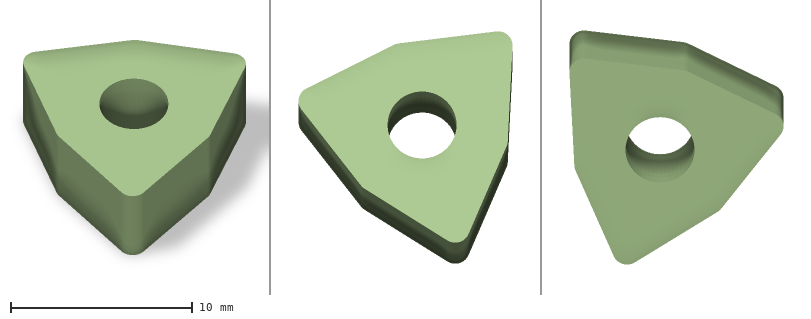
import cadquery as cq
import math

overall_width = 12.12
thickness = 4.76
hole_diameter = 3.8
edge_radius = 0.8
corner_count = 3
corner_angle = 80.0
first_corner_direction = 220.0

corner_pitch = 360.0 / corner_count
half_corner = corner_angle / 2
blunt_half_angle = 180.0 - corner_pitch / 2 - half_corner

left_direction = math.radians(first_corner_direction)
right_direction = math.radians(first_corner_direction + corner_pitch)
round_center_span = overall_width - 2 * edge_radius
round_center_distance = round_center_span / (math.cos(right_direction) - math.cos(left_direction))

inscribed_radius = round_center_distance * math.sin(math.radians(half_corner)) + edge_radius


def corner_point(half_angle, direction):
    """Sharp corner where two flanks tangent to the inscribed circle meet."""
    distance = inscribed_radius / math.sin(math.radians(half_angle))
    angle = math.radians(direction)
    return (distance * math.cos(angle), distance * math.sin(angle))


outline = []
for index in range(corner_count):
    direction = first_corner_direction + index * corner_pitch
    outline.append(corner_point(half_corner, direction))
    outline.append(corner_point(blunt_half_angle, direction + corner_pitch / 2))

body = cq.Workplane("XY").polyline(outline).close().extrude(thickness)
body = body.edges("|Z").fillet(edge_radius)

result = body.faces(">Z").workplane(origin=(0, 0, thickness)).hole(hole_diameter)